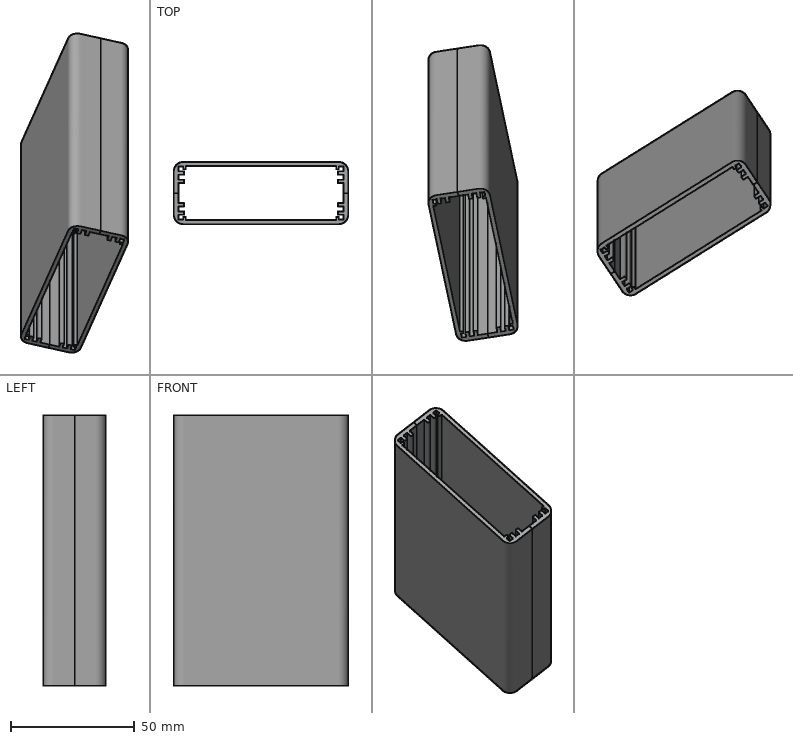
import cadquery as cq

width = 71.0
depth = 25.4
height = 110.0
side_wall = 2.0
long_wall = 1.8
corner_radius = 4.0

rib_length = 2.25
rib_thickness = 1.5
rib_round = 0.15
inner_rib_offset = 4.0
card_slot = 1.9
outer_rib_offset = inner_rib_offset + rib_thickness + card_slot

channel_width = 1.9
channel_floor = 0.2
lip_thickness = 1.1
lip_height = 1.25
lip_round = 0.2

inner_half_width = width / 2 - side_wall
inner_half_depth = depth / 2 - long_wall
channel_x = inner_half_width - channel_width


def block(x_min, x_max, y_min, y_max):
    """Full-height block over the given X and Y ranges."""
    return (
        cq.Workplane("XY")
        .box(x_max - x_min, y_max - y_min, height, centered=False)
        .translate((x_min, y_min, 0))
    )


def rear_wall():
    """U-shaped wall on the +Y side of the mid plane."""
    tube = cq.Workplane("XY").box(width, depth, height, centered=(True, True, False))
    tube = tube.edges("|Z").fillet(corner_radius)
    tube = tube.cut(block(-inner_half_width, inner_half_width, -inner_half_depth, inner_half_depth))
    return tube.intersect(block(-width / 2, width / 2, 0, depth / 2))


def card_rib(offset):
    """Rib on the +X side wall, starting at the given distance from the mid plane."""
    rib = block(inner_half_width - rib_length, inner_half_width, offset, offset + rib_thickness)
    return rib.edges("|Z and <X").fillet(rib_round)


def screw_lip():
    """Lip on the long wall beside the +X screw channel."""
    lip = block(channel_x - lip_thickness, channel_x, inner_half_depth - lip_height, inner_half_depth)
    return lip.edges("|Z and <Y").fillet(lip_round)


def channel_pad():
    """Thicker stretch of the long wall between the lip and the +X side wall."""
    return block(channel_x, inner_half_width, inner_half_depth - channel_floor, inner_half_depth)


def half_shell():
    """Half of the enclosure on the +Y side, with the same details at both ends."""
    shell = rear_wall()
    details = [card_rib(inner_rib_offset), card_rib(outer_rib_offset), screw_lip(), channel_pad()]
    for detail in details:
        shell = shell.union(detail).union(detail.mirror("YZ"))
    return shell


rear_half = half_shell()
front_half = half_shell().mirror("XZ")

result = cq.Compound.makeCompound([rear_half.val(), front_half.val()])